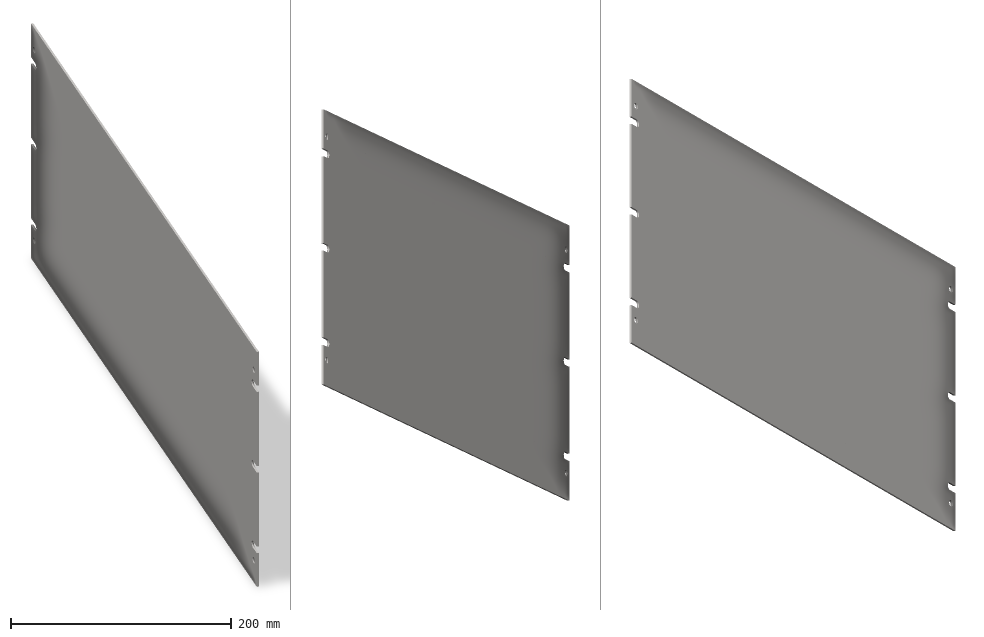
import cadquery as cq

panel_width = 583.0
panel_thickness = 2.0
panel_height = 255.0

slot_width = 7.0
slot_depth = 13.5
slot_pitch = 87.5

hole_diameter = 6.0
hole_edge_inset = 8.0
hole_spacing_z = 207.0


def make_panel():
    """Flat plate centred on the origin, standing in the XZ plane."""
    return cq.Workplane("XY").box(panel_width, panel_thickness, panel_height)


def cut_edge_slots(body):
    """Three round-ended slots open to each side edge."""
    centres = [
        (side * panel_width / 2, row * slot_pitch)
        for side in (-1, 1)
        for row in (-1, 0, 1)
    ]
    slots = (
        cq.Workplane("XZ")
        .pushPoints(centres)
        .slot2D(2 * slot_depth, slot_width)
        .extrude(panel_thickness, both=True)
    )
    return body.cut(slots)


def cut_corner_holes(body):
    """One through hole near each corner."""
    hole_spacing_x = panel_width - 2 * hole_edge_inset
    holes = (
        cq.Workplane("XZ")
        .rect(hole_spacing_x, hole_spacing_z, forConstruction=True)
        .vertices()
        .circle(hole_diameter / 2)
        .extrude(panel_thickness, both=True)
    )
    return body.cut(holes)


result = cut_corner_holes(cut_edge_slots(make_panel()))